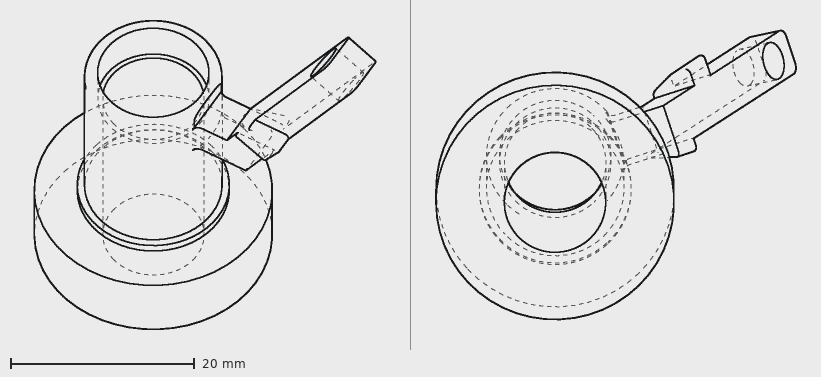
import cadquery as cq
import math

base_radius = 13.0
base_height = 8.0
collar_radius = 8.3
collar_height = 1.0
tube_radius = 7.5
tube_top = 29.3
rim_round = 0.8
bore_radius = 5.55
counterbore_radius = 6.05
counterbore_depth = 4.7
flat_x = 6.9

lever_width = 5.05
lever_thickness = 4.0
lever_angle = math.radians(60)
tip_x = 27.05
tip_z = 49.35
tip_round = 1.0
arm_bottom = 23.45
arm_top = 27.3
root_fillet = 1.0
hole_diameter = 4.1
hole_from_tip = 4.0

catch_slope = math.tan(math.radians(16))
catch_start_x = 9.65
catch_height = 3.8
front_catch_bottom = 29.65
catch_round = 0.5

run_per_rise = 1 / math.tan(lever_angle)
lever_span_x = lever_thickness / math.sin(lever_angle)
upper_tip_x = tip_x - lever_thickness * math.sin(lever_angle)
lower_tip_z = tip_z - lever_thickness * math.cos(lever_angle)


def upper_face_x(z):
    """X of the lever's upper sloping face at height z."""
    return upper_tip_x - (tip_z - z) * run_per_rise


def cylinder(radius, bottom, top):
    return cq.Workplane("XY").workplane(offset=bottom).circle(radius).extrude(top - bottom)


def make_tube():
    tube = cylinder(tube_radius, 0, tube_top).faces(">Z").edges().fillet(rim_round)
    flat_cut = cq.Workplane("XY").box(
        tube_radius, 2 * tube_radius, tube_top - arm_top, centered=(False, True, False)
    ).translate((flat_x, 0, arm_top))
    return tube.cut(flat_cut)


def make_lever():
    outline = [
        (0, arm_bottom),
        (upper_face_x(arm_bottom) + lever_span_x, arm_bottom),
        (tip_x, lower_tip_z),
        (upper_tip_x, tip_z),
        (upper_face_x(arm_top), arm_top),
        (0, arm_top),
    ]
    lever = cq.Workplane("XZ").polyline(outline).close().extrude(lever_width / 2, both=True)
    across_tip = cq.Vector(math.sin(lever_angle), 0, -math.cos(lever_angle))
    tip_edges = cq.selectors.ParallelDirSelector(across_tip)
    lever = lever.edges(tip_edges).fillet(tip_round)
    hole_x = upper_tip_x - hole_from_tip * math.cos(lever_angle)
    hole_z = tip_z - hole_from_tip * math.sin(lever_angle)
    hole = cq.Solid.makeCylinder(
        hole_diameter / 2,
        2 * lever_thickness,
        cq.Vector(hole_x, 0, hole_z) - across_tip * (lever_thickness / 2),
        across_tip,
    )
    return lever.cut(cq.Workplane(obj=hole))


def make_root_fillets():
    """Concave blends between the tube and both sides of the arm."""
    half = lever_width / 2
    centre_y = half + root_fillet
    reach = tube_radius + root_fillet
    centre_x = math.sqrt(reach**2 - centre_y**2)
    tube_share = tube_radius / reach
    blank = (
        cq.Workplane("XY")
        .workplane(offset=arm_bottom)
        .polyline([
            (0, 0),
            (centre_x * tube_share, centre_y * tube_share),
            (centre_x, centre_y),
            (centre_x, 0),
        ])
        .close()
        .extrude(arm_top - arm_bottom)
    )
    round_cut = cylinder(root_fillet, arm_bottom, arm_top).translate((centre_x, centre_y, 0))
    blend = blank.cut(round_cut)
    return blend.union(blend.mirror("XZ"))


def make_catch(bottom):
    """Catch on the -Y side: a slice along the lever, growing thicker toward +X."""
    top = bottom + catch_height
    slice_outline = [
        (upper_face_x(bottom), bottom),
        (upper_face_x(bottom) + lever_span_x, bottom),
        (upper_face_x(top) + lever_span_x, top),
        (upper_face_x(top), top),
    ]
    side_slice = cq.Workplane("XZ").polyline(slice_outline).close().extrude(2 * lever_width)
    half = lever_width / 2
    wedge = (
        cq.Workplane("XY")
        .workplane(offset=bottom)
        .polyline([
            (catch_start_x - half / catch_slope, 0),
            (tip_x, 0),
            (tip_x, -half - (tip_x - catch_start_x) * catch_slope),
        ])
        .close()
        .extrude(catch_height)
    )
    outer_face = cq.selectors.ParallelDirSelector(cq.Vector(catch_slope, 1, 0))
    catch = side_slice.intersect(wedge)
    upper_corner = catch.faces(">Z").edges("|Y").edges(">X")
    return catch.faces(outer_face).edges().add(upper_corner).fillet(catch_round)


body = cylinder(base_radius, 0, base_height)
body = body.union(cylinder(collar_radius, 0, base_height + collar_height))
body = body.union(make_tube())
body = body.union(make_lever())
body = body.union(make_root_fillets())
body = body.union(make_catch(front_catch_bottom))
body = body.union(make_catch(arm_bottom).mirror("XZ"))
body = body.cut(cylinder(bore_radius, 0, tube_top))
result = body.cut(cylinder(counterbore_radius, tube_top - counterbore_depth, tube_top))